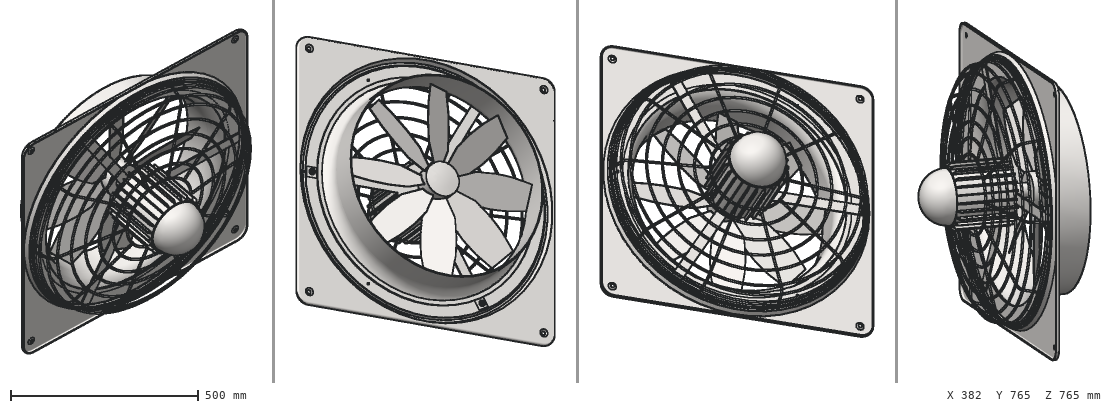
import cadquery as cq
import math

OVERALL_LENGTH = 382.0

PLATE_SIZE = 765.0
PLATE_FRONT = 122.5
PLATE_DEPTH = 10.5
PLATE_CORNER_RADIUS = 36.0
PLATE_EDGE_RADIUS = 5.0
SHEET = 3.0
MOUNT_HOLE_OFFSET = 348.0
MOUNT_HOLE_DIAMETER = 10.0
MOUNT_SINK_DIAMETER = 22.0

BEAD_OUTER_RADIUS = 374.0
BEAD_FLOOR_OUTER_RADIUS = 367.0
BEAD_FLOOR_INNER_RADIUS = 360.0
BEAD_INNER_RADIUS = 355.0
BEAD_BACK = 141.0
ANNULUS_BACK = 134.5
ANNULUS_INNER_RADIUS = 322.0

DUCT_RADIUS = 286.0
DUCT_LENGTH = 87.0
BELL_RADIUS = 46.0
BELL_RIM_RADIUS = 309.0

HUB_RADIUS = 49.0
HUB_FRONT = 20.0
HUB_DOME_HEIGHT = 5.0
HUB_BACK = 76.0
SHAFT_RADIUS = 20.0
BLADE_COUNT = 8
BLADE_CENTER_X = 51.0
BLADE_PITCH = 29.0
BLADE_THICKNESS = 2.0
BLADE_ROOT_RADIUS = 40.0
BLADE_SHOULDER_RADIUS = 102.0
BLADE_BELLY_RADIUS = 173.0
BLADE_TIP_RADIUS = 269.5
BLADE_ROOT_LEADING = 11.0
BLADE_ROOT_TRAILING = 18.0
BLADE_SHOULDER_HALF = 44.0
BLADE_BELLY_HALF = 48.4
BLADE_TIP_HALF = 36.5

MOTOR_DOME_RADIUS = 77.5
MOTOR_BODY_RADIUS = 82.0
FIN_END_GAP = 3.0
FIN_COUNT = 24
FIN_RADIUS = 91.5
FIN_THICKNESS = 3.0
FIN_EMBED = 3.0
FIN_CHAMFER = 6.0
DOME_BASE = OVERALL_LENGTH - MOTOR_DOME_RADIUS
FIN_END = DOME_BASE - FIN_END_GAP

STRUT_ANGLES = (60.0, 180.0, 300.0)
STRUT_WIDTH = 30.0
STRUT_THICKNESS = 4.0
STRUT_REACH = 350.0
SCREW_CIRCLE_RADIUS = 336.0
SCREW_HEAD_DIAMETER = 16.0
SCREW_HEAD_HEIGHT = 4.0
SCREW_SOCKET_DIAMETER = 7.0
SPARE_HOLE_DIAMETER = 5.0

WIRE_RADIUS = 2.5
WIRE_CENTER_GAP = 3.5
SPOKE_COUNT = 10
FOOT_X = BEAD_BACK - SHEET / 2
FOOT_RADIUS = 358.0
SHOULDER_X = 199.5
SHOULDER_RADIUS = 339.0
SHOULDER_BEND_RADIUS = 22.0
SPOKE_END_RADIUS = 106.0
SIDE_RINGS = ((144.0, 360.2), (149.8, 356.0), (163.0, 352.0), (191.0, 345.5))
CAGE_RING_COUNT = 6
CAGE_RING_FIRST_RADIUS = 109.0
CAGE_RING_FIRST_X = 234.0
CAGE_RING_SPACING = 43.0
CAGE_RING_STEP_X = 5.8


def turned(points):
    """Solid of revolution about X from a closed (x, radius) outline."""
    return cq.Workplane("XY").polyline(points).close().revolve(360, (0, 0, 0), (1, 0, 0))


def rod(start_x, length, radius):
    return cq.Workplane("YZ", origin=(start_x, 0, 0)).circle(radius).extrude(length)


def about_axis(shape, angle):
    """Turn a shape about X; zero angle points along -Y and positive angles rise toward +Z."""
    return shape.rotate((0, 0, 0), (1, 0, 0), 180 - angle)


def around_axis(shape, count):
    """Copies of a shape evenly spaced around X."""
    return [about_axis(shape, index * 360 / count) for index in range(count)]


def joined(parts):
    """One body fused from a list of shapes."""
    first, *others = [part.val() for part in parts]
    return cq.Workplane(first.fuse(*others))


def yz_point(radius, angle):
    """Offset (y, z) of a point on a circle around X, with angles as in about_axis."""
    return (-radius * math.cos(math.radians(angle)), radius * math.sin(math.radians(angle)))


def square_block(start_x, depth, size, corner_radius):
    block = cq.Workplane("YZ", origin=(start_x, 0, 0)).rect(size, size).extrude(depth)
    return block.edges("|X").fillet(corner_radius)


def make_plate():
    inner_depth = PLATE_DEPTH - SHEET
    pan = square_block(PLATE_FRONT, PLATE_DEPTH, PLATE_SIZE, PLATE_CORNER_RADIUS)
    pan = pan.faces("<X").edges().fillet(PLATE_EDGE_RADIUS)
    cavity = square_block(
        PLATE_FRONT + SHEET, inner_depth, PLATE_SIZE - 2 * SHEET, PLATE_CORNER_RADIUS - SHEET
    )
    cavity = cavity.faces("<X").edges().fillet(PLATE_EDGE_RADIUS - SHEET)
    pan = pan.cut(cavity).cut(rod(PLATE_FRONT, PLATE_DEPTH, BEAD_OUTER_RADIUS))

    reach = MOUNT_HOLE_OFFSET
    hole_radius = MOUNT_HOLE_DIAMETER / 2
    sink = turned([
        (PLATE_FRONT, 0),
        (PLATE_FRONT, MOUNT_SINK_DIAMETER / 2),
        (PLATE_FRONT + SHEET, hole_radius),
        (PLATE_FRONT + SHEET, 0),
    ])
    for y in (-reach, reach):
        for z in (-reach, reach):
            pan = pan.cut(sink.translate((0, y, z)))
    return pan


def make_pressing():
    """Bead and recessed annulus filling the round opening of the plate."""
    overlap = 1.0
    front = [
        (PLATE_FRONT, BEAD_OUTER_RADIUS + overlap),
        (PLATE_FRONT, BEAD_OUTER_RADIUS),
        (BEAD_BACK - SHEET, BEAD_FLOOR_OUTER_RADIUS),
        (BEAD_BACK - SHEET, BEAD_FLOOR_INNER_RADIUS),
        (ANNULUS_BACK - SHEET, BEAD_INNER_RADIUS),
        (ANNULUS_BACK - SHEET, BELL_RIM_RADIUS),
    ]
    back = [(x + SHEET, radius) for x, radius in reversed(front)]
    return turned(front + back)


def make_duct():
    """Straight duct flaring through a bell mouth to a flat rim lapped over the annulus."""
    center_radius = DUCT_RADIUS + BELL_RADIUS
    inner_bend = BELL_RADIUS + SHEET
    sweep_end = math.acos((center_radius - BELL_RIM_RADIUS) / BELL_RADIUS)

    def bend(radius, angle):
        return (DUCT_LENGTH + radius * math.sin(angle), center_radius - radius * math.cos(angle))

    rim_front = bend(BELL_RADIUS, sweep_end)[0]
    return (
        cq.Workplane("XY")
        .moveTo(0, DUCT_RADIUS)
        .lineTo(DUCT_LENGTH, DUCT_RADIUS)
        .threePointArc(bend(BELL_RADIUS, sweep_end / 2), bend(BELL_RADIUS, sweep_end))
        .lineTo(rim_front, ANNULUS_INNER_RADIUS)
        .lineTo(ANNULUS_BACK, ANNULUS_INNER_RADIUS)
        .lineTo(ANNULUS_BACK, bend(inner_bend, sweep_end)[1])
        .lineTo(*bend(inner_bend, sweep_end))
        .threePointArc(bend(inner_bend, sweep_end / 2), (DUCT_LENGTH, DUCT_RADIUS - SHEET))
        .lineTo(0, DUCT_RADIUS - SHEET)
        .close()
        .revolve(360, (0, 0, 0), (1, 0, 0))
    )


def make_hub():
    dome_radius = (HUB_RADIUS**2 + HUB_DOME_HEIGHT**2) / (2 * HUB_DOME_HEIGHT)
    half_radius = HUB_RADIUS / 2
    half_x = HUB_FRONT + dome_radius - math.sqrt(dome_radius**2 - half_radius**2)
    hub = (
        cq.Workplane("XY")
        .moveTo(HUB_FRONT, 0)
        .threePointArc((half_x, half_radius), (HUB_FRONT + HUB_DOME_HEIGHT, HUB_RADIUS))
        .lineTo(HUB_BACK, HUB_RADIUS)
        .lineTo(HUB_BACK, 0)
        .close()
        .revolve(360, (0, 0, 0), (1, 0, 0))
    )
    return hub.union(rod(HUB_BACK, ANNULUS_BACK - HUB_BACK, SHAFT_RADIUS))


def make_blade():
    """Flat paddle pointing along +Y, pitched about its own radial axis."""
    blade = (
        cq.Workplane("YZ")
        .moveTo(BLADE_ROOT_RADIUS, -BLADE_ROOT_TRAILING)
        .lineTo(BLADE_SHOULDER_RADIUS, -BLADE_SHOULDER_HALF)
        .spline(
            [(BLADE_BELLY_RADIUS, -BLADE_BELLY_HALF), (BLADE_TIP_RADIUS, -BLADE_TIP_HALF)],
            includeCurrent=True,
        )
        .lineTo(BLADE_TIP_RADIUS, BLADE_TIP_HALF)
        .spline(
            [(BLADE_BELLY_RADIUS, BLADE_BELLY_HALF), (BLADE_SHOULDER_RADIUS, BLADE_SHOULDER_HALF)],
            includeCurrent=True,
        )
        .lineTo(BLADE_ROOT_RADIUS, BLADE_ROOT_LEADING)
        .close()
        .extrude(BLADE_THICKNESS / 2, both=True)
    )
    return blade.rotate((0, 0, 0), (0, 1, 0), BLADE_PITCH).translate((BLADE_CENTER_X, 0, 0))


def make_motor():
    motor = rod(ANNULUS_BACK, DOME_BASE - ANNULUS_BACK, MOTOR_BODY_RADIUS)
    dome = cq.Workplane("XY").sphere(MOTOR_DOME_RADIUS).translate((DOME_BASE, 0, 0))
    motor = motor.union(dome)

    fin_root = MOTOR_BODY_RADIUS - FIN_EMBED
    fin = (
        cq.Workplane("XY")
        .moveTo(ANNULUS_BACK, fin_root)
        .lineTo(ANNULUS_BACK, FIN_RADIUS)
        .lineTo(FIN_END - FIN_CHAMFER, FIN_RADIUS)
        .lineTo(FIN_END, FIN_RADIUS - FIN_CHAMFER)
        .lineTo(FIN_END, fin_root)
        .close()
        .extrude(FIN_THICKNESS / 2, both=True)
    )
    return motor.union(joined(around_axis(fin, FIN_COUNT)))


def make_strut():
    """Flat bar along +Y from the motor face to the back of the annulus."""
    return cq.Workplane("XY").box(
        STRUT_THICKNESS, STRUT_REACH, STRUT_WIDTH, centered=(False, False, True)
    ).translate((ANNULUS_BACK, 0, 0))


def make_screw():
    annulus_front = ANNULUS_BACK - SHEET
    head = rod(annulus_front - SCREW_HEAD_HEIGHT, SCREW_HEAD_HEIGHT, SCREW_HEAD_DIAMETER / 2)
    socket = rod(annulus_front - SCREW_HEAD_HEIGHT, SCREW_HEAD_HEIGHT, SCREW_SOCKET_DIAMETER / 2)
    return head.cut(socket)


def make_spoke():
    """Guard wire along +Y: up the side of the cage, round the shoulder and in toward the motor."""
    slope = CAGE_RING_STEP_X / CAGE_RING_SPACING
    end_x = CAGE_RING_FIRST_X - WIRE_CENTER_GAP + slope * (CAGE_RING_FIRST_RADIUS - SPOKE_END_RADIUS)
    corner = cq.Vector(SHOULDER_X, SHOULDER_RADIUS, 0)
    foot = cq.Vector(FOOT_X, FOOT_RADIUS, 0)
    path = cq.Wire.makePolygon([foot, corner, cq.Vector(end_x, SPOKE_END_RADIUS, 0)])
    bend = [vertex for vertex in path.Vertices() if (vertex.Center() - corner).Length < WIRE_RADIUS]
    path = path.fillet2D(SHOULDER_BEND_RADIUS, bend)
    profile = cq.Workplane(cq.Plane(foot, xDir=(0, 0, 1), normal=corner - foot))
    return profile.circle(WIRE_RADIUS).sweep(cq.Workplane(path))


def make_ring(x, radius):
    ring = cq.Workplane("XY").center(x, radius).circle(WIRE_RADIUS)
    ring = ring.revolve(360, (-x, -radius, 0), (1 - x, -radius, 0))
    return about_axis(ring, 180 / SPOKE_COUNT)


def make_guard():
    """Spokes tied together by rings round the side and across the domed end of the cage."""
    parts = around_axis(make_spoke(), SPOKE_COUNT)
    for x, radius in SIDE_RINGS:
        parts.append(make_ring(x, radius))
    for index in range(CAGE_RING_COUNT):
        x = CAGE_RING_FIRST_X - index * CAGE_RING_STEP_X
        parts.append(make_ring(x, CAGE_RING_FIRST_RADIUS + index * CAGE_RING_SPACING))
    return joined(parts)


def make_fan():
    fan = make_plate().union(make_pressing()).union(make_duct())
    hub = make_hub().union(joined(around_axis(make_blade(), BLADE_COUNT)))
    fan = fan.union(make_motor()).union(hub)

    strut = make_strut()
    screw = make_screw()
    spare_hole = rod(ANNULUS_BACK - SHEET, SHEET, SPARE_HOLE_DIAMETER / 2)
    for angle in STRUT_ANGLES:
        y, z = yz_point(SCREW_CIRCLE_RADIUS, angle)
        fan = fan.union(about_axis(strut, angle)).union(screw.translate((0, y, z)))
        fan = fan.cut(spare_hole.translate((0, -y, -z)))
    return fan.union(make_guard())


result = make_fan()